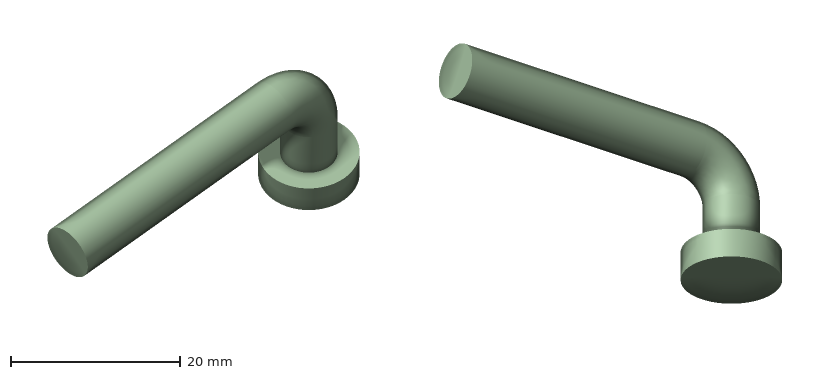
import cadquery as cq

overall_length = 46.0
overall_height = 19.1

base_diameter = 12.0
base_thickness = 3.7
bar_diameter = 6.8
bend_radius = 6.0

arm_axis_z = overall_height - bar_diameter / 2
arm_end_y = base_diameter / 2 - overall_length
bend_start_z = arm_axis_z - bend_radius


def make_base():
    """Round disc that the handle stands on."""
    return cq.Workplane("XY").circle(base_diameter / 2).extrude(base_thickness)


def make_post():
    """Straight upright from the underside of the disc to the elbow."""
    return cq.Workplane("XY").circle(bar_diameter / 2).extrude(bend_start_z)


def make_elbow():
    """Quarter-turn from the upright towards -Y."""
    return (
        cq.Workplane("XY", origin=(0, 0, bend_start_z))
        .circle(bar_diameter / 2)
        .revolve(90, (0, -bend_radius, 0), (1, -bend_radius, 0))
    )


def make_arm():
    """Straight horizontal grip running from the elbow to its flat end."""
    arm_length = -bend_radius - arm_end_y
    return (
        cq.Workplane("XZ", origin=(0, -bend_radius, arm_axis_z))
        .circle(bar_diameter / 2)
        .extrude(arm_length)
    )


result = make_base().union(make_post()).union(make_elbow()).union(make_arm())